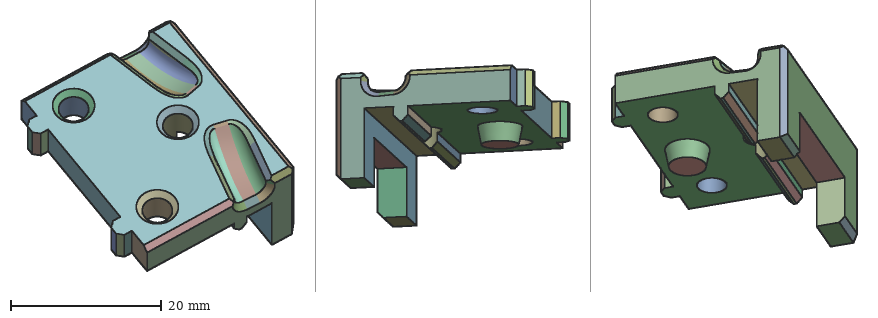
import cadquery as cq
import math

width = 30.0
depth = 24.0
plate_thickness = 5.0
bevel = 0.8

wall_thickness = 4.0
wall_height = 14.5
notch_width = 18.4
notch_height = 6.7

hole_diameter = 4.0
countersink_diameter = hole_diameter + 2 * bevel
countersink_angle = 90.0
side_offset = 10.0
front_row_y = 5.0
rear_row_y = 15.0
hole_positions = [(-side_offset, front_row_y), (side_offset, front_row_y), (0, rear_row_y)]

tab_width = 2.75
tab_length = 2.0

rib_width = 2.0
rib_height = 2.0
stud_base_diameter = 6.0
stud_tip_diameter = 5.0
stud_height = 2.5

groove_width = 5.0
edge_radius = 1.5
groove_depth = 3.0
disc_radius = 12.0
groove_angle = math.radians(13.0)
groove_center = cq.Vector(-11.2, 17.79, disc_radius - groove_depth)
flat_half_width = groove_width / 2 - edge_radius
edge_circle_radius = disc_radius - edge_radius
along = cq.Vector(math.cos(groove_angle), math.sin(groove_angle), 0)
across = cq.Vector(-math.sin(groove_angle), math.cos(groove_angle), 0)

ball_radius = bevel
wedge_reach = 1.5
wall_overrun = 2.0
curve_steps = 10
up = cq.Vector(0, 0, 1)
outward = cq.Vector(-1, 0, 0)
side_ball_x = -width / 2 + ball_radius


def make_box(size_x, size_y, size_z, front_y, bottom_z):
    """Box centred on X that starts at front_y and bottom_z."""
    box = cq.Workplane("XY").box(size_x, size_y, size_z, centered=(True, False, False))
    return box.translate((0, front_y, bottom_z))


def make_body():
    """Plate and rear wall with bevelled top sides and rear edges."""
    wall_y = depth - wall_thickness
    body = make_box(width, depth, plate_thickness, 0, -plate_thickness)
    body = body.union(make_box(width, wall_thickness, wall_height, wall_y, -wall_height))
    for edges in ("|Z and >Y", "|X and >Y", "|Y and >Z"):
        envelope = make_box(width, depth, wall_height, 0, -wall_height)
        body = body.intersect(envelope.edges(edges).chamfer(bevel))
    return body.cut(make_box(notch_width, wall_thickness, notch_height, wall_y, -wall_height))


def make_disc():
    """Round-edged disc that forms the left groove."""
    disc = cq.Workplane("XZ").circle(disc_radius).extrude(groove_width / 2, both=True)
    disc = disc.edges().fillet(edge_radius)
    disc = disc.rotate((0, 0, 0), (0, 0, 1), math.degrees(groove_angle))
    return disc.translate(groove_center)


def make_section(ball, groove_normal, face_normal):
    """Triangle from the two contact points of a ball to a tip outside the material."""
    face_contact = ball + face_normal * ball_radius
    groove_contact = ball + groove_normal * ball_radius
    tip = ball + (face_normal + groove_normal) * (ball_radius * wedge_reach)
    return cq.Wire.makePolygon([face_contact, groove_contact, tip], close=True)


def curved_section(side, roll, face_normal):
    """Section where the ball touches the rounded disc edge.

    roll runs from 0 at the flat disc side to 90 degrees at the disc rim.
    """
    offset = (edge_radius + ball_radius) * math.cos(roll)
    sideways = across * (side * (flat_half_width + offset))
    radius = edge_circle_radius + (edge_radius + ball_radius) * math.sin(roll)
    if face_normal is up:
        swing = math.acos((groove_center.z + ball_radius) / radius)
    else:
        travel = (side_ball_x - groove_center.x - sideways.x) / along.x
        swing = math.asin(travel / radius)
    radial = along * math.sin(swing) - up * math.cos(swing)
    ball = groove_center + sideways + radial * radius
    groove_normal = across * (-side * math.cos(roll)) - radial * math.sin(roll)
    return make_section(ball, groove_normal, face_normal)


def wall_section(side, x, z, face_normal):
    """Section where the ball touches the flat groove side."""
    offset = side * (groove_width / 2 + ball_radius)
    sideways = across * offset
    travel = (x - groove_center.x - sideways.x) / along.x
    level = cq.Vector(groove_center.x, groove_center.y, z)
    return make_section(level + sideways + along * travel, across * -side, face_normal)


def make_rim_wedges():
    """Wedges that bevel the rim of the left groove on the top and side faces."""
    quarter = math.pi / 2
    wedges = []
    for face_normal in (up, outward):
        for side in (-1, 1):
            rolls = [quarter * (step / curve_steps) ** 2 for step in range(curve_steps + 1)]
            sections = [curved_section(side, roll, face_normal) for roll in rolls]
            wedges.append(cq.Solid.makeLoft(sections))
        floor = [curved_section(side, quarter, face_normal) for side in (-1, 1)]
        wedges.append(cq.Solid.makeLoft(floor, True))

    wall_end_travel = math.sqrt(edge_circle_radius**2 - (groove_center.z + ball_radius) ** 2)
    for side in (-1, 1):
        sideways_x = side * (groove_width / 2 + ball_radius) * across.x
        wall_end_x = groove_center.x + sideways_x + wall_end_travel * along.x
        side_travel = (side_ball_x - groove_center.x - sideways_x) / along.x
        wall_end_z = groove_center.z - math.sqrt(edge_circle_radius**2 - side_travel**2)
        runs = [
            (up, (-width / 2 - wall_overrun, -ball_radius), (wall_end_x, -ball_radius)),
            (outward, (side_ball_x, wall_end_z), (side_ball_x, wall_overrun)),
        ]
        for face_normal, start, end in runs:
            ends = [wall_section(side, x, z, face_normal) for x, z in (start, end)]
            wedges.append(cq.Solid.makeLoft(ends, True))
    return wedges


def cut_grooves(body):
    """Cut the left groove with its bevelled rim and its mirror image."""
    for cutter in [make_disc().val()] + make_rim_wedges():
        body = body.cut(cq.Workplane(cutter))
        body = body.cut(cq.Workplane(cutter.mirror("YZ")))
    return body


def make_tab(x):
    """Front tab with bevelled corners, as thick as the plate."""
    tab = make_box(tab_width, tab_length, plate_thickness, -tab_length, -plate_thickness)
    return tab.edges("|Z and <Y").chamfer(bevel).translate((x, 0, 0))


def make_rib():
    """Rib across the full width with bevelled lower edges."""
    rib = make_box(width, rib_width, rib_height, rear_row_y - rib_width / 2, -plate_thickness - rib_height)
    return rib.edges("|X and <Z").chamfer(bevel)


def make_stud():
    """Stud tapering downwards from the underside."""
    stud = cq.Workplane("XY", origin=(0, front_row_y, -plate_thickness))
    stud = stud.circle(stud_base_diameter / 2).workplane(offset=-stud_height)
    return stud.circle(stud_tip_diameter / 2).loft()


def drill_holes(body):
    """Countersunk through holes from the top face."""
    holes = body.faces(">Z").workplane(origin=(0, 0, 0)).pushPoints(hole_positions)
    return holes.cskHole(hole_diameter, countersink_diameter, countersink_angle)


result = cut_grooves(make_body())
for tab_x in (-side_offset, side_offset):
    result = result.union(make_tab(tab_x))
result = result.union(make_rib()).union(make_stud())
result = drill_holes(result).solids()